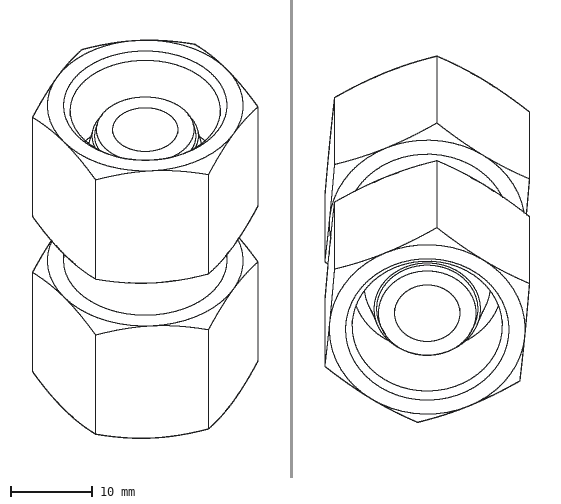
import cadquery as cq
import math

total_length = 44.0
across_flats = 24.0
nut_length = 18.5
neck_diameter = 20.0
through_diameter = 8.0

corner_chamfer_angle = 30.0
mouth_diameter = 20.0
socket_diameter = 18.4

cone_half_angle = 12.0
tip_depth = 3.95
tip_radius = 6.0
step_inner_radius = 6.2
step_outer_radius = 6.5
cone_base_radius = 7.75

half_length = total_length / 2
flat_radius = across_flats / 2
corner_radius = flat_radius / math.cos(math.pi / 6)
nut_bottom = half_length - nut_length
corner_drop = (corner_radius - flat_radius) * math.tan(math.radians(corner_chamfer_angle))
socket_radius = socket_diameter / 2
mouth_radius = mouth_diameter / 2
mouth_chamfer = mouth_radius - socket_radius

cone_slope = math.tan(math.radians(cone_half_angle))
tip_height = half_length - tip_depth
step_height = tip_height - (step_inner_radius - tip_radius) / cone_slope
floor_height = step_height - (cone_base_radius - step_outer_radius) / cone_slope


def revolve_profile(points):
    """Revolve a closed (radius, height) outline about the Z axis."""
    return cq.Workplane("XZ").polyline(points).close().revolve(360, (0, 0, 0), (0, 1, 0))


def make_nut():
    """Upper hexagon nut with conically chamfered corners at both ends."""
    hexagon_points = [
        (corner_radius * math.sin(i * math.pi / 3), corner_radius * math.cos(i * math.pi / 3))
        for i in range(6)
    ]
    hexagon = (
        cq.Workplane("XY").workplane(offset=nut_bottom)
        .polyline(hexagon_points).close().extrude(nut_length)
    )
    corner_envelope = revolve_profile([
        (0, nut_bottom),
        (flat_radius, nut_bottom),
        (corner_radius, nut_bottom + corner_drop),
        (corner_radius, half_length - corner_drop),
        (flat_radius, half_length),
        (0, half_length),
    ])
    return hexagon.intersect(corner_envelope)


def make_socket():
    """Open space of the upper nut, leaving the stepped sealing cone standing."""
    return revolve_profile([
        (0, half_length),
        (mouth_radius, half_length),
        (socket_radius, half_length - mouth_chamfer),
        (socket_radius, floor_height),
        (cone_base_radius, floor_height),
        (step_outer_radius, step_height),
        (step_inner_radius, step_height),
        (tip_radius, tip_height),
        (0, tip_height),
    ])


upper_nut = make_nut().cut(make_socket())
lower_nut = upper_nut.mirror("XY")
neck = cq.Workplane("XY").circle(neck_diameter / 2).extrude(nut_bottom, both=True)
through_hole = cq.Workplane("XY").circle(through_diameter / 2).extrude(half_length, both=True)

result = neck.union(upper_nut).union(lower_nut).cut(through_hole)